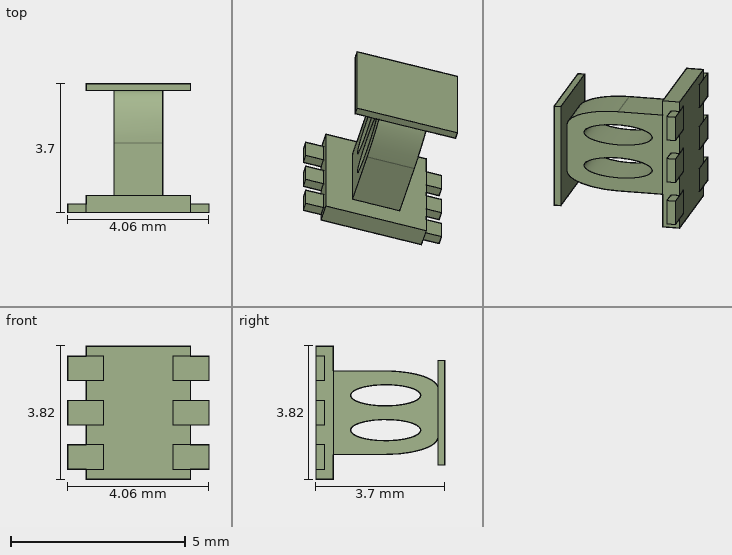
import cadquery as cq

span_x = 4.06
span_y = 3.7
base_height = 3.82

plate_width = 3.0
base_thickness = 0.5
flange_thickness = 0.2
flange_height = plate_width

post_width = 1.41
post_height = 2.4
post_length = span_y - base_thickness - flange_thickness
post_start = base_thickness
post_end = post_start + post_length
post_middle = post_start + post_length / 2
shoulder_drop = 0.5

window_length = 2.0
window_height = 0.6
window_pitch = 1.0

pad_length = 1.03
pad_thickness = 0.25
pad_height = 0.705
pad_pitch = 1.27
pad_rows = (-1, 0, 1)
pad_sides = (-1, 1)


def plate(height, thickness, y_start):
    """Upright plate centred on X and Z, growing toward +Y from y_start."""
    return cq.Workplane("XY").box(plate_width, thickness, height).translate(
        (0, y_start + thickness / 2, 0)
    )


def make_post():
    """Straight post whose far half tapers along quarter-ellipse shoulders."""
    half_height = post_height / 2
    end_half_height = half_height - shoulder_drop
    half_length = post_length / 2
    profile = (
        cq.Workplane("YZ", origin=(-post_width / 2, 0, 0))
        .moveTo(post_start, -half_height)
        .lineTo(post_middle, -half_height)
        .ellipseArc(half_length, shoulder_drop, 270, 360, startAtCurrent=True)
        .lineTo(post_end, end_half_height)
        .ellipseArc(half_length, shoulder_drop, 0, 90, startAtCurrent=True)
        .lineTo(post_start, half_height)
        .close()
    )
    return profile.extrude(post_width)


def make_windows():
    """Elliptical cutters, one above the other, running along X."""
    centres = [(post_middle, side * window_pitch / 2) for side in (-1, 1)]
    return (
        cq.Workplane("YZ", origin=(-post_width / 2, 0, 0))
        .pushPoints(centres)
        .ellipse(window_length / 2, window_height / 2)
        .extrude(post_width)
    )


def make_pad(side, row):
    """One terminal pad, flush with the front of the base."""
    x_centre = side * (span_x - pad_length) / 2
    return cq.Workplane("XY").box(pad_length, pad_thickness, pad_height).translate(
        (x_centre, pad_thickness / 2, row * pad_pitch)
    )


def make_bobbin(pads):
    """Base, post and flange in one piece, with a recess for each pad."""
    base = plate(base_height, base_thickness, 0)
    flange = plate(flange_height, flange_thickness, post_end)
    bobbin = base.union(make_post().cut(make_windows())).union(flange)
    for pad in pads:
        bobbin = bobbin.cut(pad)
    return bobbin.solids()


pads = [make_pad(side, row) for side in pad_sides for row in pad_rows]
bobbin = make_bobbin(pads)

result = cq.Compound.makeCompound([bobbin.val(), *[pad.val() for pad in pads]])